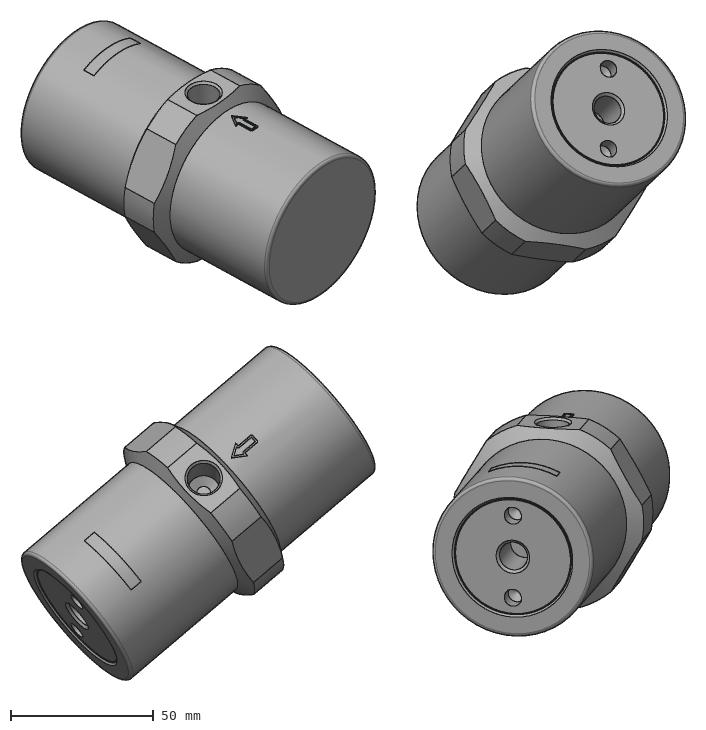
import cadquery as cq
import math

body_length = 116.0
body_diameter = 58.0
body_edge_radius = 1.2
body_radius = body_diameter / 2
inlet_x = -body_length / 2

collar_width = 20.0
collar_x = 2.5
across_flats = 65.0
collar_diameter = 68.8
collar_cone_angle = 30.0
hex_corner_diameter = across_flats / math.cos(math.pi / 6)

recess_mouth_diameter = 43.6
recess_diameter = 42.2
recess_chamfer = (recess_mouth_diameter - recess_diameter) / 2
insert_diameter = 41.5
insert_groove_depth = 0.3

inlet_diameter = 10.1
inlet_mouth_diameter = 12.1
inlet_depth = 17.4
wrench_hole_diameter = 6.1
wrench_hole_depth = 5.8
wrench_hole_offset = 15.0
drill_point_angle = 118.0

port_diameter = 11.5
port_mouth_diameter = 13.1
port_depth = 13.9
port_floor_diameter = 4.9

arrow_tip_x = 15.5
arrow_head_length = 4.9
arrow_length = 11.1
arrow_head_half_width = 3.1
arrow_shaft_half_width = 1.7
arrow_line_width = 0.7
arrow_tail_corner_radius = 0.5
arrow_depth = 0.3

label_x = -40.4
label_length = 4.8
label_width = 24.6
label_depth = 0.1


def drill_point_height(large_diameter, small_diameter=0.0):
    """Axial height of a drill-point cone between two diameters."""
    return (large_diameter - small_diameter) / 2 / math.tan(math.radians(drill_point_angle / 2))


def turned(profile):
    """Revolve an (axial, radial) profile about the X axis."""
    return cq.Workplane("XY").polyline(profile).close().revolve(360, (0, 0, 0), (1, 0, 0))


def make_body():
    cylinder = cq.Workplane("YZ").workplane(offset=inlet_x).circle(body_radius).extrude(body_length)
    return cylinder.faces("<X or >X").edges().fillet(body_edge_radius)


def make_collar():
    start = collar_x - collar_width / 2
    end = collar_x + collar_width / 2
    collar_radius = collar_diameter / 2
    cone_length = (collar_radius - body_radius) * math.tan(math.radians(collar_cone_angle))
    hexagon = cq.Workplane("YZ").workplane(offset=start).polygon(6, hex_corner_diameter).extrude(collar_width)
    envelope = turned([
        (start, 0),
        (start, body_radius),
        (start + cone_length, collar_radius),
        (end - cone_length, collar_radius),
        (end, body_radius),
        (end, 0),
    ])
    return hexagon.intersect(envelope)


def make_recess():
    floor_x = inlet_x + recess_chamfer
    groove_x = floor_x + insert_groove_depth
    return turned([
        (inlet_x, 0),
        (inlet_x, recess_mouth_diameter / 2),
        (floor_x, recess_diameter / 2),
        (groove_x, recess_diameter / 2),
        (groove_x, insert_diameter / 2),
        (floor_x, insert_diameter / 2),
        (floor_x, 0),
    ])


def make_inlet_bore():
    face_x = inlet_x + recess_chamfer
    chamfer = (inlet_mouth_diameter - inlet_diameter) / 2
    return turned([
        (face_x, 0),
        (face_x, inlet_mouth_diameter / 2),
        (face_x + chamfer, inlet_diameter / 2),
        (face_x + inlet_depth, inlet_diameter / 2),
        (face_x + inlet_depth, 0),
    ])


def make_wrench_holes():
    face_x = inlet_x + recess_chamfer
    tip_x = face_x + wrench_hole_depth + drill_point_height(wrench_hole_diameter)
    hole = turned([
        (face_x, 0),
        (face_x, wrench_hole_diameter / 2),
        (face_x + wrench_hole_depth, wrench_hole_diameter / 2),
        (tip_x, 0),
    ])
    upper = hole.translate((0, 0, wrench_hole_offset))
    lower = hole.translate((0, 0, -wrench_hole_offset))
    return upper.union(lower)


def make_port():
    top_z = across_flats / 2
    chamfer = (port_mouth_diameter - port_diameter) / 2
    cone_z = top_z - port_depth
    floor_z = cone_z - drill_point_height(port_diameter, port_floor_diameter)
    profile = [
        (0, top_z),
        (port_mouth_diameter / 2, top_z),
        (port_diameter / 2, top_z - chamfer),
        (port_diameter / 2, cone_z),
        (port_floor_diameter / 2, floor_z),
        (0, floor_z),
    ]
    port = cq.Workplane("XZ").polyline(profile).close().revolve(360, (0, 0, 0), (0, 1, 0))
    return port.translate((collar_x, 0, 0))


def engraving(stamp, depth):
    """Part of a vertical prism that lies within a depth below the body surface."""
    core = cq.Workplane("YZ").workplane(offset=inlet_x).circle(body_radius - depth).extrude(body_length)
    return stamp.cut(core)


def make_arrow_groove():
    head_x = arrow_tip_x + arrow_head_length
    tail_x = arrow_tip_x + arrow_length
    outline = [
        (arrow_tip_x, 0),
        (head_x, arrow_head_half_width),
        (head_x, arrow_shaft_half_width),
        (tail_x, arrow_shaft_half_width),
        (tail_x, -arrow_shaft_half_width),
        (head_x, -arrow_shaft_half_width),
        (head_x, -arrow_head_half_width),
    ]
    outer = cq.Workplane("XY").polyline(outline).close().extrude(body_diameter)
    outer = outer.edges("|Z").edges(">X").fillet(arrow_tail_corner_radius)
    inner = cq.Workplane("XY").polyline(outline).close().offset2D(-arrow_line_width).extrude(body_diameter)
    return engraving(outer.cut(inner), arrow_depth)


def make_label_panel():
    panel = cq.Workplane("XY").center(label_x, 0).rect(label_length, label_width).extrude(body_diameter)
    return engraving(panel, label_depth)


result = make_body().union(make_collar())
result = result.cut(make_recess()).cut(make_inlet_bore()).cut(make_wrench_holes())
result = result.cut(make_port()).cut(make_arrow_groove()).cut(make_label_panel())